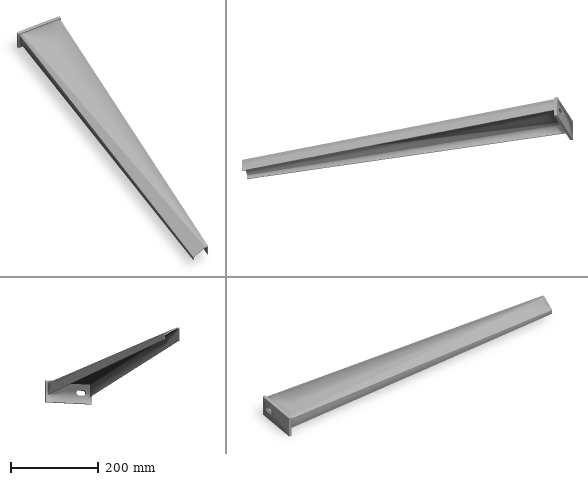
import cadquery as cq
import math

total_length = 768.0
plate_width = 110.0
plate_height = 50.0
plate_thickness = 7.0

slot_length = 22.0
slot_width = 12.0
slot_from_back = 25.0

sheet = 2.0
arm_height = 29.0
arm_top_gap = 3.0
arm_back_gap = 2.0
root_width = 103.0
tip_width = 38.5
root_bevel = 5.0
tip_bevel = 31.0
bevel_slope = 0.6

arm_length = total_length - plate_thickness
arm_back = plate_width / 2 - arm_back_gap
arm_top = plate_height / 2 - arm_top_gap
arm_bottom = arm_top - arm_height
bevel_angle = math.atan(bevel_slope)


def make_plate():
    """Rectangular end plate with one slot through it."""
    blank = cq.Workplane("YZ").rect(plate_width, plate_height).extrude(plate_thickness)
    slot = (
        cq.Workplane("YZ")
        .center(plate_width / 2 - slot_from_back, 0)
        .slot2D(slot_length, slot_width)
        .extrude(plate_thickness)
    )
    return blank.cut(slot).solids()


def arm_section(width, bevel, inset):
    """Bevelled (Y, Z) section, with its walls and top moved inward by inset."""
    back = arm_back - inset
    front = arm_back - width + inset
    top = arm_top - inset
    upper_fold = arm_back - width + bevel + inset * math.tan(bevel_angle / 2)
    lower_fold = arm_top - bevel * bevel_slope - inset * math.tan(math.pi / 4 - bevel_angle / 2)
    return [
        (back, arm_bottom),
        (back, top),
        (upper_fold, top),
        (front, lower_fold),
        (front, arm_bottom),
    ]


def tapered_body(inset):
    """Straight-sided solid from the root section to the tip section."""
    return (
        cq.Workplane("YZ", origin=(plate_thickness, 0, 0))
        .polyline(arm_section(root_width, root_bevel, inset))
        .close()
        .workplane(offset=arm_length)
        .polyline(arm_section(tip_width, tip_bevel, inset))
        .close()
        .loft(ruled=True)
    )


def make_arm():
    """Hollow arm, open at both ends and along the bottom."""
    return tapered_body(0).cut(tapered_body(sheet)).solids()


plate = make_plate()
arm = make_arm()

result = cq.Compound.makeCompound([plate.val(), arm.val()])